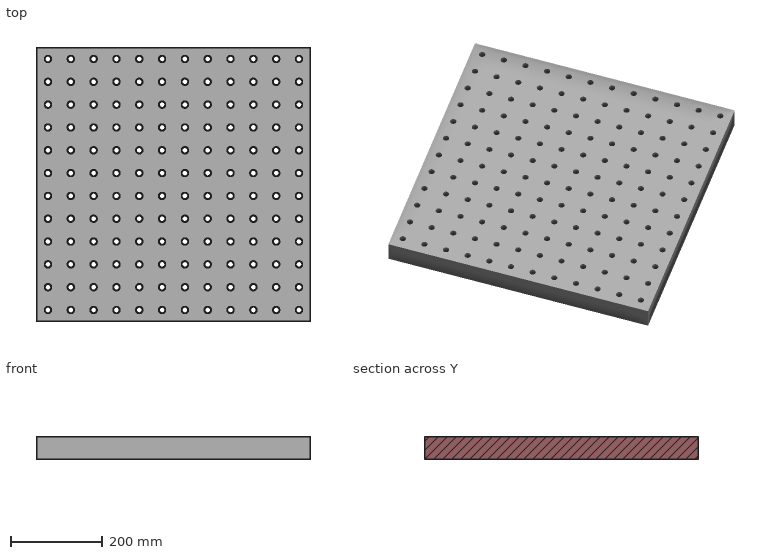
import cadquery as cq

side = 600.0
holes_per_side = 12

hole_pitch = side / holes_per_side
hole_diameter = 14.0

thickness = hole_pitch

plate = cq.Workplane("XY").box(side, side, thickness)

result = (
    plate.faces(">Z")
    .workplane()
    .rarray(hole_pitch, hole_pitch, holes_per_side, holes_per_side)
    .hole(hole_diameter)
)